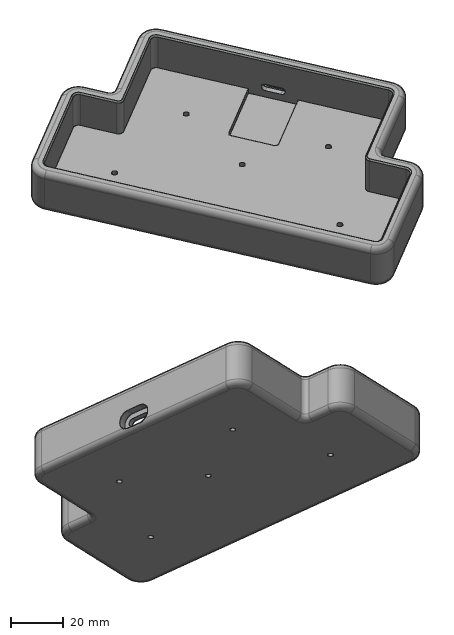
import cadquery as cq
KEY_PITCH = 19.05
BORDER = 6.0
WIDE_KEYS = 7
NARROW_KEYS = 5
ROWS = 4
WIDE_ROWS = 2

HEIGHT = 20.6
WALL = 5.0
FLOOR = 3.0
CORNER_RADIUS = 2.2
EDGE_FILLET = 2.5
RIM_CHAMFER = 0.6

HOLE_DIAMETER = 2.2
REAR_HOLE_X = 1.5 * KEY_PITCH
FRONT_HOLE_X = 45.3
HOLE_ROW_Y = KEY_PITCH

POCKET_WIDTH = 20.0
POCKET_LENGTH = 25.8
POCKET_DEPTH = 2.5
POCKET_CORNER_RADIUS = 1.5

PORT_WIDTH = 9.6
PORT_HEIGHT = 3.4
PLUG_WIDTH = 14.0
PLUG_HEIGHT = 8.0
PLUG_DEPTH = 3.0
PORT_ABOVE_POCKET = 5.2

wide_width = WIDE_KEYS * KEY_PITCH + 2 * BORDER
narrow_width = NARROW_KEYS * KEY_PITCH + 2 * BORDER
depth = ROWS * KEY_PITCH + 2 * BORDER
step_y = WIDE_ROWS * KEY_PITCH + 2 * BORDER - depth / 2
cavity_rear_y = depth / 2 - WALL
pocket_bottom = FLOOR - POCKET_DEPTH
outer_corner_radius = CORNER_RADIUS + WALL


def stepped_prism(inset, bottom, height):
    """Mirror-symmetric stepped block, inset from the outer footprint on every side."""
    wide_x = wide_width / 2 - inset
    narrow_x = narrow_width / 2 - inset
    front_y = -depth / 2 + inset
    shoulder_y = step_y - inset
    rear_y = depth / 2 - inset
    right_side = [(wide_x, front_y), (wide_x, shoulder_y), (narrow_x, shoulder_y), (narrow_x, rear_y)]
    left_side = [(-x, y) for x, y in reversed(right_side)]
    outline = cq.Workplane("XY").workplane(offset=bottom).polyline(right_side + left_side).close()
    return outline.extrude(height)


def make_body():
    """Solid outer block with rounded corners and rounded top and bottom edges."""
    body = stepped_prism(0, 0, HEIGHT)
    reach = CORNER_RADIUS
    step_corners = cq.selectors.BoxSelector(
        (-narrow_width / 2 - reach, step_y - reach, 0),
        (narrow_width / 2 + reach, step_y + reach, HEIGHT),
    )
    vertical_edges = cq.selectors.ParallelDirSelector(cq.Vector(0, 0, 1))
    body = body.edges(vertical_edges - step_corners).fillet(outer_corner_radius)
    body = body.edges(vertical_edges & step_corners).fillet(CORNER_RADIUS)
    return body.faces("<Z or >Z").edges().fillet(EDGE_FILLET)


def make_cavity():
    """Open-topped interior with rounded vertical corners."""
    return stepped_prism(WALL, FLOOR, HEIGHT - FLOOR).edges("|Z").fillet(CORNER_RADIUS)


def chamfer_rim(shell):
    """Bevel the inner edge of the top rim, the smaller of the two loops on the top face."""
    return shell.faces(">Z").wires(cq.selectors.AreaNthSelector(0)).chamfer(RIM_CHAMFER)


def make_holes():
    """Five screw holes: a close rear pair, a wide front pair and one in the centre."""
    rear = [(-REAR_HOLE_X, HOLE_ROW_Y), (REAR_HOLE_X, HOLE_ROW_Y)]
    front = [(-FRONT_HOLE_X, -HOLE_ROW_Y), (FRONT_HOLE_X, -HOLE_ROW_Y)]
    return cq.Workplane("XY").pushPoints(rear + front + [(0, 0)]).circle(HOLE_DIAMETER / 2).extrude(FLOOR)


def make_pocket():
    """Recess in the floor that meets the rear wall and has rounded front corners."""
    pocket = cq.Workplane("XY").box(POCKET_WIDTH, POCKET_LENGTH, POCKET_DEPTH, centered=(True, False, False))
    pocket = pocket.edges("|Z and <Y").fillet(POCKET_CORNER_RADIUS)
    return pocket.translate((0, cavity_rear_y - POCKET_LENGTH, pocket_bottom))


def rear_wall_slot(width, height, start_y, length):
    """Horizontal round-ended slot running rearward from start_y at port height."""
    slot = cq.Workplane("XZ").slot2D(width, height).extrude(-length)
    return slot.translate((0, start_y, pocket_bottom + PORT_ABOVE_POCKET))


def make_port():
    """Through slot for the connector with a wider plug recess on the outside of the wall."""
    connector_slot = rear_wall_slot(PORT_WIDTH, PORT_HEIGHT, cavity_rear_y, WALL)
    plug_recess = rear_wall_slot(PLUG_WIDTH, PLUG_HEIGHT, depth / 2 - PLUG_DEPTH, PLUG_DEPTH)
    return connector_slot.union(plug_recess)


shell = chamfer_rim(make_body().cut(make_cavity()))
result = shell.cut(make_holes()).cut(make_pocket()).cut(make_port())